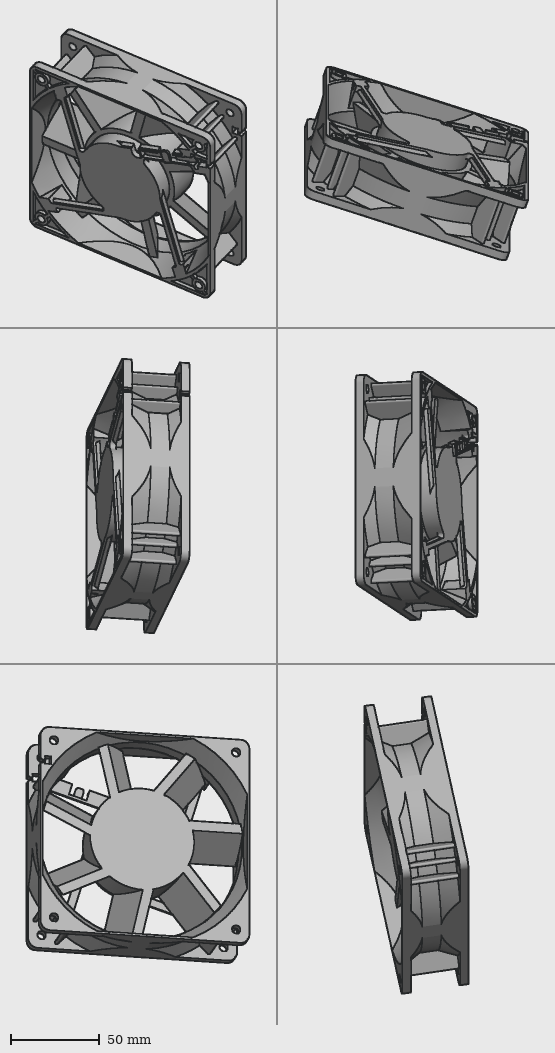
import cadquery as cq
import math


SIDE = 120.5
DEPTH = 38.0
FRONT = -DEPTH / 2
FLANGE = 5.0
CORNER_RADIUS = 5.2
HOLE_PITCH = 105.1
HOLE_RADIUS = 2.4

THROAT_RADIUS = 58.4
FLARE_RADIUS = 65.2
THROAT_START = 15.7
THROAT_END = 26.5
DUCT_WALL = 2.0
SIDE_WALL = 1.3

FIN_THICKNESS = 2.0
FIN_OFFSET = 8.8
MIDDLE_FIN_REACH = 68.2
OUTER_FIN_REACH = 71.9
OUTLET_FIN_OFFSET = 15.1
OUTLET_FIN_REACH = 65.7

POCKET_DEPTH = 2.5
POCKET_HALF = 58.1
POCKET_ARC_RADIUS = 67.5
BOSS_RADIUS = 4.3
WEB = 2.0
LEAD_POCKET_TOP = 55.1
LEAD_POCKET_BOTTOM = 45.0

DISC_RADIUS = 26.7
STRUT_TILT = 16.8
STRUT_OFFSET = 24.1
STRUT_FACE = 2.9
STRUT_BACK = 4.8
STRUT_STRAIGHT = 1.5
STRUT_DEPTH = 3.6
STRUT_OVERLAP = 1.2
DISC_FILLET = 1.8
RING_FILLET = 1.2
FILL_OVERLAP = 0.05
BASE_WIDTH = 8.8
BASE_RADIUS = 59.2

CHANNEL_LOW = 19.6
CHANNEL_HIGH = 26.0
CHANNEL_WALL = 1.0
EXIT_WALL = 0.5
CHANNEL_FLOOR = 2.4
CHANNEL_START = 20.6
FIRST_FLOOR_END = 33.7
SECOND_FLOOR_START = 44.2
CHANNEL_END = 58.8
TROUGH_END = 66.3
RAMP_START = 21.6
RAMP_END = 24.3
OUT_RAMP_START = 52.7
OUT_RAMP_END = 57.6
RAMP_DROP = 0.8
EXIT_DEPTH = 4.1
TAB_START = 36.4
TAB_WIDTH = 4.8
TAB_TOP = 27.0
TAB_THICKNESS = 1.5
TAB_RADIUS = 1.6
NOTCH_START = 15.3
NOTCH_RADIUS = 3.3
LEAD_BASE_LOW = 14.8
LEAD_BASE_HIGH = 30.8
LEAD_FILLET = 3.0
GROOVE_WIDTH = 2.4
GROOVE_LOW = 17.7
GROOVE_HIGH = 28.2
GROOVE_DEPTH = 4.6
GROOVE_END_RADIUS = 1.1

OUTLET_LEFT = 54.1
OUTLET_RIGHT = 57.7
OUTLET_BOTTOM = 38.3
OUTLET_TOP = 42.9
SLIT_BOTTOM = 39.3
SLIT_TOP = 40.5
SLIT_MOUTH = 0.8
SLIT_STRAIGHT = 1.0

HUB_RADIUS = 30.0
ROTOR_START = 10.0
ROTOR_LENGTH = 20.1
BLADE_COUNT = 7
FIRST_BLADE_ANGLE = 180.0
BLADE_EDGE = 5.8
BLADE_LEAD = 0.2
BLADE_SWEEP = 13.1
TIP_CLEARANCE = 0.1


def plane_at(depth):
    """Workplane facing the front; local x is X and local y is Z."""
    return cq.Workplane("XZ", origin=(0, FRONT + depth, 0))


def block(x0, x1, z0, z1, depth0, depth1):
    """Box between two X values, two Z values and two depths behind the front face."""
    return (
        plane_at(depth0)
        .center((x0 + x1) / 2, (z0 + z1) / 2)
        .rect(x1 - x0, z1 - z0)
        .extrude(depth0 - depth1)
    )


def cylinder(radius, depth0, depth1):
    return plane_at(depth0).circle(radius).extrude(depth0 - depth1)


def turn(body, angle):
    """Turn a body about the fan axis, counter-clockwise seen from the front."""
    return body.rotate((0, 0, 0), (0, -1, 0), angle)


def square_block(half, depth0, depth1):
    return block(-half, half, -half, half, depth0, depth1)


def duct_solid(radius_growth):
    """Throat with a cone on each side, all radii enlarged by the same amount."""
    flare = FLARE_RADIUS + radius_growth
    throat = THROAT_RADIUS + radius_growth
    return (
        cq.Workplane("XY")
        .moveTo(0, FRONT)
        .lineTo(flare, FRONT)
        .lineTo(throat, FRONT + THROAT_START)
        .lineTo(throat, FRONT + THROAT_END)
        .lineTo(flare, FRONT + DEPTH)
        .lineTo(0, FRONT + DEPTH)
        .close()
        .revolve(360, (0, 0, 0), (0, 1, 0))
    )


def flange(depth):
    plate = square_block(SIDE / 2, depth, depth + FLANGE)
    return plate.edges("|Y").fillet(CORNER_RADIUS)


def fin(offset, reach):
    """Plate along X with a round outer end, to be turned onto a diagonal."""
    half = FIN_THICKNESS / 2
    start = FLANGE
    end = DEPTH - FLANGE
    plate = block(THROAT_RADIUS, reach - half, offset - half, offset + half, start, end)
    round_end = plane_at(start).center(reach - half, offset).circle(half).extrude(start - end)
    return plate.union(round_end)


def corner_fins():
    fins = []
    for corner in range(4):
        lower = fin(-FIN_OFFSET, OUTER_FIN_REACH)
        if corner == 0:
            lower = fin(-OUTLET_FIN_OFFSET, OUTLET_FIN_REACH)
        upper = fin(FIN_OFFSET, OUTER_FIN_REACH)
        for body in (lower, fin(0, MIDDLE_FIN_REACH), upper):
            fins.append(turn(body, 45 + 90 * corner))
    return fins


def corner_cylinders(radius, length):
    """Cylinders from the front face, one on each mounting hole axis."""
    axes = plane_at(0).rect(HOLE_PITCH, HOLE_PITCH, forConstruction=True).vertices()
    return axes.circle(radius).extrude(-length)


def pocket_keepers():
    """Solid left standing in the pockets: the rim of the duct, the bosses and the diagonal webs."""
    rim = cylinder(POCKET_ARC_RADIUS, 0, POCKET_DEPTH)
    bosses = corner_cylinders(BOSS_RADIUS, POCKET_DEPTH)
    web = block(-SIDE, SIDE, -WEB / 2, WEB / 2, 0, POCKET_DEPTH)
    return rim.union(bosses).union(turn(web, 45)).union(turn(web, -45))


def corner_pockets():
    """Pockets in the four corners, smaller at the upper right around the lead outlet."""
    pockets = square_block(POCKET_HALF, 0, POCKET_DEPTH).cut(pocket_keepers())
    half = SIDE / 2
    above = (
        plane_at(0)
        .polyline([(0, LEAD_POCKET_TOP), (LEAD_POCKET_TOP, LEAD_POCKET_TOP), (half, half), (0, half)])
        .close()
        .extrude(-POCKET_DEPTH)
    )
    below = block(0, half, 0, LEAD_POCKET_BOTTOM, 0, POCKET_DEPTH)
    return pockets.cut(above).cut(below)


def strut_profile(low, high):
    """Section of a strut: straight sides at the front that spread towards the back."""
    spread = (STRUT_BACK - STRUT_FACE) / 2
    return [
        (FRONT, low),
        (FRONT, high),
        (FRONT + STRUT_STRAIGHT, high),
        (FRONT + STRUT_DEPTH, high + spread),
        (FRONT + STRUT_DEPTH, low - spread),
        (FRONT + STRUT_STRAIGHT, low),
    ]


def strut(low, high, start, end):
    """Beam along X, to be tilted into place."""
    profile = cq.Workplane("YZ", origin=(start, 0, 0)).polyline(strut_profile(low, high)).close()
    return profile.extrude(end - start)


def strut_base(low, high, inner_radius):
    """Block that fills the front flare of the duct where a strut meets the frame."""
    strip = block(0, SIDE, low, high, 0, THROAT_START)
    return strip.cut(cylinder(inner_radius, 0, THROAT_START)).intersect(duct_solid(0))


def corner_fill(edge, side, arc_radius, arc_side, fillet):
    """Rounded filling between a strut edge and the disc (arc_side 1) or the ring (arc_side -1).

    The edge runs along X at Z = edge, and side is the direction from it into the opening.
    """
    center_z = edge + side * fillet
    reach = arc_radius + arc_side * fillet
    center_x = math.sqrt(reach**2 - center_z**2)
    tangent_x = center_x * arc_radius / reach
    tangent_z = center_z * arc_radius / reach
    corner_x = math.sqrt(arc_radius**2 - edge**2)
    overlap = 1 - arc_side * FILL_OVERLAP
    bisector_x = (tangent_x - center_x) / fillet
    bisector_z = (tangent_z - center_z) / fillet - side
    length = math.hypot(bisector_x, bisector_z)
    middle = (center_x + fillet * bisector_x / length, center_z + fillet * bisector_z / length)
    return (
        plane_at(0)
        .moveTo(center_x, edge)
        .threePointArc(middle, (tangent_x, tangent_z))
        .lineTo(tangent_x * overlap, tangent_z * overlap)
        .lineTo(corner_x * overlap, edge)
        .close()
        .extrude(-STRUT_DEPTH)
    )


def lead_beam():
    """Solid beam of the lead channel along X, missing between its two floored lengths."""
    beam = strut(CHANNEL_LOW, CHANNEL_HIGH, CHANNEL_START, CHANNEL_END)
    wall_top = CHANNEL_LOW + CHANNEL_WALL
    return beam.cut(block(FIRST_FLOOR_END, SECOND_FLOOR_START, wall_top, SIDE / 2, 0, STRUT_DEPTH))


def lead_tab():
    tab = block(TAB_START, TAB_START + TAB_WIDTH, CHANNEL_LOW, TAB_TOP, 0, TAB_THICKNESS)
    return tab.edges("|Y and >Z").fillet(TAB_RADIUS)


def lead_trough():
    """Space for the leads along X: a floored length with a ramp, then the wider way out."""
    floor = FRONT + CHANNEL_FLOOR
    end_floor = floor + RAMP_DROP
    exit_floor = FRONT + EXIT_DEPTH
    floored = [
        (RAMP_START, FRONT),
        (RAMP_START, end_floor),
        (RAMP_END, floor),
        (OUT_RAMP_START, floor),
        (OUT_RAMP_START, FRONT),
    ]
    way_out = [
        (OUT_RAMP_START, FRONT),
        (OUT_RAMP_START, floor),
        (OUT_RAMP_END, end_floor),
        (OUT_RAMP_END, exit_floor),
        (TROUGH_END, exit_floor),
        (TROUGH_END, FRONT),
    ]
    return trough_part(floored, CHANNEL_WALL).union(trough_part(way_out, EXIT_WALL))


def trough_part(outline, wall):
    """Outline of X and Y points, as wide as the channel between two walls."""
    width = CHANNEL_HIGH - CHANNEL_LOW - 2 * wall
    return cq.Workplane("XY", origin=(0, 0, CHANNEL_LOW + wall)).polyline(outline).close().extrude(width)


def lead_notch():
    notch = block(NOTCH_START, CHANNEL_START, CHANNEL_LOW, HUB_RADIUS, 0, STRUT_DEPTH)
    return notch.edges("|Y and <X and <Z").fillet(NOTCH_RADIUS)


def lead_groove():
    groove = block(OUT_RAMP_END, OUT_RAMP_END + GROOVE_WIDTH, GROOVE_LOW, GROOVE_HIGH, 0, GROOVE_DEPTH)
    return groove.edges("|Y").fillet(GROOVE_END_RADIUS)


def lead_outlet():
    """Square opening with a slit to the side of the frame, through the whole depth."""
    return (
        plane_at(0)
        .moveTo(OUTLET_LEFT, OUTLET_BOTTOM)
        .lineTo(OUTLET_RIGHT, OUTLET_BOTTOM)
        .lineTo(OUTLET_RIGHT, SLIT_BOTTOM)
        .lineTo(OUTLET_RIGHT + SLIT_STRAIGHT, SLIT_BOTTOM)
        .lineTo(SIDE / 2, SLIT_BOTTOM - SLIT_MOUTH)
        .lineTo(SIDE / 2, SLIT_TOP + SLIT_MOUTH)
        .lineTo(OUTLET_RIGHT + SLIT_STRAIGHT, SLIT_TOP)
        .lineTo(OUTLET_RIGHT, SLIT_TOP)
        .lineTo(OUTLET_RIGHT, OUTLET_TOP)
        .lineTo(OUTLET_LEFT, OUTLET_TOP)
        .close()
        .extrude(-DEPTH)
    )


def plain_strut():
    """Pieces of one strut along X: beam, base and rounded corners."""
    low = STRUT_OFFSET - STRUT_FACE / 2
    high = STRUT_OFFSET + STRUT_FACE / 2
    end = math.sqrt(BASE_RADIUS**2 - STRUT_OFFSET**2) + STRUT_OVERLAP
    return [
        strut(low, high, 0, end),
        strut_base(STRUT_OFFSET - BASE_WIDTH / 2, STRUT_OFFSET + BASE_WIDTH / 2, BASE_RADIUS),
        corner_fill(low, -1, DISC_RADIUS, 1, DISC_FILLET),
        corner_fill(low, -1, BASE_RADIUS, -1, RING_FILLET),
        corner_fill(high, 1, BASE_RADIUS, -1, RING_FILLET),
    ]


def lead_strut():
    """Pieces of the strut that carries the leads, along X."""
    return [
        lead_beam(),
        strut_base(LEAD_BASE_LOW, LEAD_BASE_HIGH, THROAT_RADIUS),
        corner_fill(CHANNEL_LOW, -1, DISC_RADIUS, 1, LEAD_FILLET),
        corner_fill(CHANNEL_LOW, -1, THROAT_RADIUS, -1, RING_FILLET),
        corner_fill(CHANNEL_HIGH, 1, THROAT_RADIUS, -1, RING_FILLET),
    ]


def make_housing():
    inside = square_block(SIDE / 2 - SIDE_WALL, 0, DEPTH)
    duct = duct_solid(0).intersect(inside)
    shell = duct_solid(DUCT_WALL).intersect(square_block(SIDE / 2, FLANGE, DEPTH - FLANGE))
    body = shell.union(flange(0)).union(flange(DEPTH - FLANGE))
    for plate in corner_fins():
        body = body.union(plate)
    body = body.cut(duct).cut(corner_cylinders(HOLE_RADIUS, DEPTH)).cut(corner_pockets())
    body = body.union(cylinder(DISC_RADIUS, 0, ROTOR_START))
    for quarter in (1, 2, 3):
        for piece in plain_strut():
            body = body.union(turn(piece, STRUT_TILT + 90 * quarter).intersect(inside))
    root = strut(CHANNEL_LOW, STRUT_OFFSET + STRUT_FACE / 2, 0, CHANNEL_START)
    body = body.union(turn(root, STRUT_TILT)).cut(turn(lead_notch(), STRUT_TILT))
    for piece in lead_strut():
        body = body.union(turn(piece, STRUT_TILT).intersect(inside))
    trough = turn(lead_trough(), STRUT_TILT).intersect(block(0, OUTLET_RIGHT, 0, OUTLET_TOP, 0, EXIT_DEPTH))
    body = body.cut(trough).cut(turn(lead_groove(), STRUT_TILT)).cut(lead_outlet())
    return body.union(turn(lead_tab(), STRUT_TILT))


def blade():
    """Slanted plate along X, from the fan axis outwards."""
    start = FRONT + ROTOR_START
    end = start + ROTOR_LENGTH
    return (
        cq.Workplane("YZ")
        .polyline(
            [
                (start, BLADE_LEAD + BLADE_EDGE),
                (start, BLADE_LEAD),
                (end, BLADE_LEAD - BLADE_SWEEP),
                (end, BLADE_LEAD - BLADE_SWEEP + BLADE_EDGE),
            ]
        )
        .close()
        .extrude(SIDE / 2)
    )


def make_rotor():
    rotor_end = ROTOR_START + ROTOR_LENGTH
    rotor = cylinder(HUB_RADIUS, ROTOR_START, rotor_end)
    tip_limit = cylinder(THROAT_RADIUS - TIP_CLEARANCE, ROTOR_START, rotor_end)
    trimmed_blade = blade().intersect(tip_limit)
    for number in range(BLADE_COUNT):
        rotor = rotor.union(turn(trimmed_blade, FIRST_BLADE_ANGLE + number * 360 / BLADE_COUNT))
    return rotor


housing = make_housing()
rotor = make_rotor()
result = cq.Compound.makeCompound([housing.val(), rotor.val()])